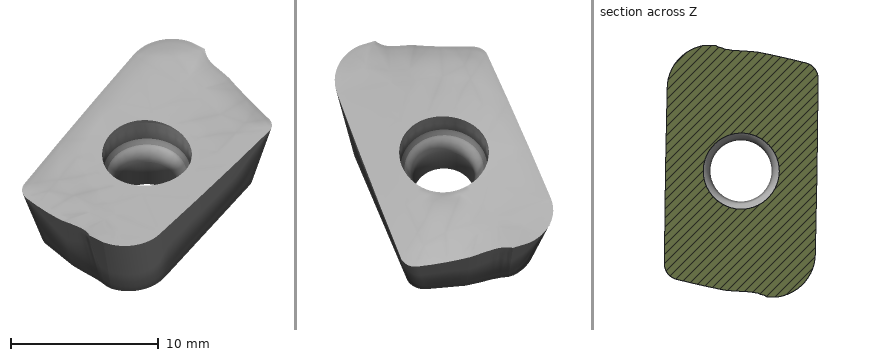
import cadquery as cq

HALF_WIDTH = 5.51
HALF_LENGTH = 9.38
HEIGHT = 6.35
BASE_HALF_WIDTH = 4.67
BASE_HALF_LENGTH = 7.69

SIDE_MID_HEIGHT = 5.53
SIDE_MID_X = 5.5
SIDE_SLOPE = 0.1
LOW_CORNER_Y = 6.75
HIGH_CORNER_Y = -6.38
HIGH_CORNER_X = 5.38
CENTRE_HEIGHT = 5.05

MOUTH_RADIUS = 3.04
WALL_FOOT_RADIUS = 2.92
SEAT_RADIUS = 2.68
BORE_RADIUS = 4.15 / 2
WALL_FOOT_Z = 3.6
SEAT_TOP_Z = 3.26
SEAT_FOOT_Z = 2.2


def side_height(y):
    """Height of the rim on the +X side."""
    return SIDE_MID_HEIGHT - SIDE_SLOPE * y


RIM_START = (HALF_WIDTH, LOW_CORNER_Y, side_height(LOW_CORNER_Y))
SIDE_END = (HIGH_CORNER_X, HIGH_CORNER_Y, side_height(HIGH_CORNER_Y))
RIM_STRETCHES = [
    ("arc", [(SIDE_MID_X, 0, SIDE_MID_HEIGHT), SIDE_END]),
    ("arc", [(4.55, -8.44, 6.3), (2.72, -HALF_LENGTH, HEIGHT)]),
    ("line", [(1.58, -HALF_LENGTH, HEIGHT)]),
    ("spline", [(0.79, -8.87, 6.02), (-0.1, -8.72, 5.81), (-1.2, -8.57, 5.48)]),
    ("spline", [(-3.05, -8.1, 5.02), (-4.65, -7.67, 4.8)]),
    ("arc", [(-5.23, -7.35, 4.8), (-RIM_START[0], -RIM_START[1], RIM_START[2])]),
]
BASE_START = (BASE_HALF_WIDTH, 5.62, 0)
BASE_STRETCHES = [
    ("line", [(BASE_HALF_WIDTH, -4.69, 0)]),
    ("arc", [(3.82, -6.85, 0), (2.25, -BASE_HALF_LENGTH, 0)]),
    ("line", [(1.88, -BASE_HALF_LENGTH, 0)]),
    ("spline", [(1.12, -7.54, 0), (0.1, -7.46, 0), (-1.09, -7.37, 0)]),
    ("line", [(-3.68, -6.73, 0)]),
    ("arc", [(-4.37, -6.3, 0), (-BASE_START[0], -BASE_START[1], 0)]),
]


def outline_edges(start, stretches):
    """Closed loop of edges: the half outline followed by its half-turn copy."""
    edges = []
    corner = cq.Vector(*start)
    for kind, points in stretches:
        path = [corner] + [cq.Vector(*point) for point in points]
        if kind == "line":
            edges.append(cq.Edge.makeLine(*path))
        elif kind == "arc":
            edges.append(cq.Edge.makeThreePointArc(*path))
        else:
            edges.append(cq.Edge.makeSpline(path))
        corner = path[-1]
    z_axis = (cq.Vector(0, 0, 0), cq.Vector(0, 0, 1))
    return edges + [edge.rotate(*z_axis, 180) for edge in edges]


def insert_body():
    """Flanks ruled from base to rim, closed by a flat base and a dished top."""
    rim = outline_edges(RIM_START, RIM_STRETCHES)
    base = outline_edges(BASE_START, BASE_STRETCHES)
    faces = [cq.Face.makeRuledSurface(low, high) for low, high in zip(base, rim)]
    faces.append(cq.Face.makeFromWires(cq.Wire.assembleEdges(base)))
    faces.append(cq.Face.makeNSidedSurface(rim, [cq.Vector(0, 0, CENTRE_HEIGHT)], degree=2))
    shell = cq.Shell.makeShell(faces)
    return cq.Workplane(obj=cq.Solid.makeSolid(shell).fix())


def screw_hole():
    """Revolved cutter whose rounded seat runs smoothly into the bore."""
    return (
        cq.Workplane("XZ")
        .lineTo(BORE_RADIUS, 0)
        .lineTo(BORE_RADIUS, SEAT_FOOT_Z)
        .tangentArcPoint((SEAT_RADIUS, SEAT_TOP_Z), relative=False)
        .lineTo(WALL_FOOT_RADIUS, WALL_FOOT_Z)
        .lineTo(MOUTH_RADIUS, CENTRE_HEIGHT)
        .lineTo(MOUTH_RADIUS, HEIGHT)
        .lineTo(0, HEIGHT)
        .close()
        .revolve(360, (0, 0, 0), (0, 1, 0))
    )


result = insert_body().cut(screw_hole())